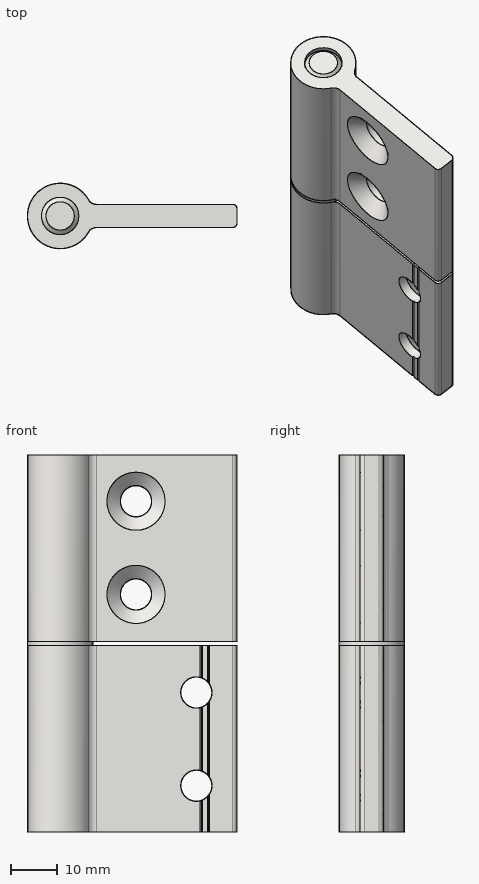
import cadquery as cq
import math

total_height = 81.0
washer_thickness = 0.8
leaf_height = (total_height - washer_thickness) / 2
upper_leaf_bottom = leaf_height + washer_thickness

barrel_diameter = 14.0
barrel_radius = barrel_diameter / 2
washer_diameter = 14.1
washer_radius = washer_diameter / 2
overall_width = 45.0
leaf_reach = overall_width - washer_radius
plate_thickness = 5.0
neck_fillet_radius = 2.0
edge_fillet_radius = 1.0

pin_diameter = 8.0
pin_radius = pin_diameter / 2
pin_chamfer = 1.0

holes_per_leaf = 2
screw_hole_diameter = 6.65
countersink_diameter = 12.5
countersink_angle = 90.0
end_to_first_hole = 10.0
hole_pitch = 20.0
upper_hole_x = 16.3
lower_hole_x = 29.25

groove_count = 2
first_groove_x = 30.3
groove_spacing = 1.5
groove_width = 0.445
groove_angle = 90.0


def leaf_blank():
    """Barrel and plate profile with rounded necks and outer edges, standing on Z = 0."""
    half_plate = plate_thickness / 2
    neck_center_y = half_plate + neck_fillet_radius
    neck_center_distance = barrel_radius + neck_fillet_radius
    neck_center_x = math.sqrt(neck_center_distance**2 - neck_center_y**2)
    neck_angle = math.atan2(neck_center_y, neck_center_x)
    tangent_x = barrel_radius * math.cos(neck_angle)
    tangent_y = barrel_radius * math.sin(neck_angle)
    barrel_end_angle = neck_angle + math.pi
    plate_end_angle = 3 * math.pi / 2
    neck_mid_angle = (barrel_end_angle + plate_end_angle) / 2
    neck_mid_x = neck_center_x + neck_fillet_radius * math.cos(neck_mid_angle)
    neck_mid_y = neck_center_y + neck_fillet_radius * math.sin(neck_mid_angle)
    profile = (
        cq.Workplane("XY")
        .moveTo(tangent_x, tangent_y)
        .threePointArc((-barrel_radius, 0), (tangent_x, -tangent_y))
        .threePointArc((neck_mid_x, -neck_mid_y), (neck_center_x, -half_plate))
        .lineTo(leaf_reach, -half_plate)
        .lineTo(leaf_reach, half_plate)
        .lineTo(neck_center_x, half_plate)
        .threePointArc((neck_mid_x, neck_mid_y), (tangent_x, tangent_y))
        .close()
    )
    blank = profile.extrude(leaf_height).edges("|Z and >X").fillet(edge_fillet_radius)
    pin_bore = cq.Workplane("XY").circle(pin_radius).extrude(leaf_height)
    return blank.cut(pin_bore)


def screw_hole_cutter(x, z, side):
    """Through hole with a countersink on the plate face at side * Y (side is -1 or 1)."""
    hole_radius = screw_hole_diameter / 2
    sink_radius = countersink_diameter / 2
    sink_depth = (sink_radius - hole_radius) / math.tan(math.radians(countersink_angle / 2))
    face_y = side * plate_thickness / 2
    outward = cq.Vector(0, side, 0)
    face_point = cq.Vector(x, face_y, z)
    shank = cq.Solid.makeCylinder(hole_radius, plate_thickness, face_point, -outward)
    sink = cq.Solid.makeCone(sink_radius, hole_radius, sink_depth, face_point, -outward)
    return shank.fuse(sink)


def groove_cutter(x):
    """V groove at x in the -Y plate face, running the full leaf height."""
    mouth_y = -plate_thickness / 2
    half_width = groove_width / 2
    depth = half_width / math.tan(math.radians(groove_angle / 2))
    return (
        cq.Workplane("XY")
        .moveTo(x - half_width, mouth_y)
        .lineTo(x, mouth_y + depth)
        .lineTo(x + half_width, mouth_y)
        .close()
        .extrude(leaf_height)
    )


def make_upper_leaf():
    """Leaf with its holes near the barrel, countersunk on the -Y face."""
    leaf = leaf_blank()
    for i in range(holes_per_leaf):
        hole_z = leaf_height - end_to_first_hole - i * hole_pitch
        leaf = leaf.cut(cq.Workplane(screw_hole_cutter(upper_hole_x, hole_z, -1)))
    return leaf.translate((0, 0, upper_leaf_bottom))


def make_lower_leaf():
    """Leaf with its holes farther out on the grooves, countersunk on the +Y face."""
    leaf = leaf_blank()
    for i in range(groove_count):
        leaf = leaf.cut(groove_cutter(first_groove_x + i * groove_spacing))
    for i in range(holes_per_leaf):
        hole_z = end_to_first_hole + i * hole_pitch
        leaf = leaf.cut(cq.Workplane(screw_hole_cutter(lower_hole_x, hole_z, 1)))
    return leaf


def make_washer():
    """Flat ring around the pin between the two barrels."""
    return (
        cq.Workplane("XY", origin=(0, 0, leaf_height))
        .circle(washer_radius)
        .circle(pin_radius)
        .extrude(washer_thickness)
    )


def make_pin():
    """Full-height pin, flush with the barrel ends and chamfered at both ends."""
    pin = cq.Workplane("XY").circle(pin_radius).extrude(total_height)
    return pin.faces("<Z or >Z").chamfer(pin_chamfer)


upper_leaf = make_upper_leaf()
lower_leaf = make_lower_leaf()
washer = make_washer()
pin = make_pin()

result = cq.Compound.makeCompound([upper_leaf.val(), lower_leaf.val(), washer.val(), pin.val()])